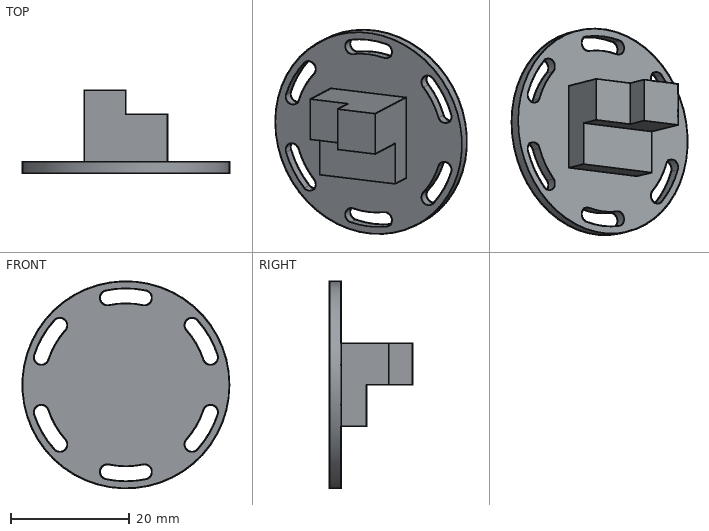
import cadquery as cq
import math

disc_diameter = 35.0
disc_thickness = 2.0

slot_count = 6
slot_center_radius = 15.0
slot_width = 2.5
slot_half_angle = 12.0

boss_side = 14.07
total_depth = 14.07
tall_height = total_depth - disc_thickness
middle_height = 8.0
low_height = 4.3


def polar(radius, angle):
    """Point in the disc plane at an angle in degrees from +X."""
    return (radius * math.cos(math.radians(angle)), radius * math.sin(math.radians(angle)))


def curved_slot(middle_angle):
    """Cutter for one arc slot with rounded ends, passing through the disc."""
    outer_radius = slot_center_radius + slot_width / 2
    inner_radius = slot_center_radius - slot_width / 2
    end_tip_angle = slot_half_angle + math.degrees(2 * math.asin(slot_width / 4 / slot_center_radius))
    start = middle_angle - slot_half_angle
    end = middle_angle + slot_half_angle
    end_tip = polar(slot_center_radius, middle_angle + end_tip_angle)
    start_tip = polar(slot_center_radius, middle_angle - end_tip_angle)
    return (
        cq.Workplane("XZ")
        .moveTo(*polar(outer_radius, start))
        .threePointArc(polar(outer_radius, middle_angle), polar(outer_radius, end))
        .threePointArc(end_tip, polar(inner_radius, end))
        .threePointArc(polar(inner_radius, middle_angle), polar(inner_radius, start))
        .threePointArc(start_tip, polar(outer_radius, start))
        .close()
        .extrude(-disc_thickness)
    )


def boss_block(width, height_z, depth):
    """Block from the boss's -X, +Z corner, rising in +Y from the disc's back face."""
    return (
        cq.Workplane("XY")
        .box(width, depth, height_z, centered=False)
        .translate((-boss_side / 2, disc_thickness, boss_side / 2 - height_z))
    )


result = cq.Workplane("XZ").circle(disc_diameter / 2).extrude(-disc_thickness)
for slot_index in range(slot_count):
    result = result.cut(curved_slot(90 + slot_index * 360 / slot_count))

result = result.union(boss_block(boss_side, boss_side, low_height))
result = result.union(boss_block(boss_side, boss_side / 2, middle_height))
result = result.union(boss_block(boss_side / 2, boss_side / 2, tall_height))